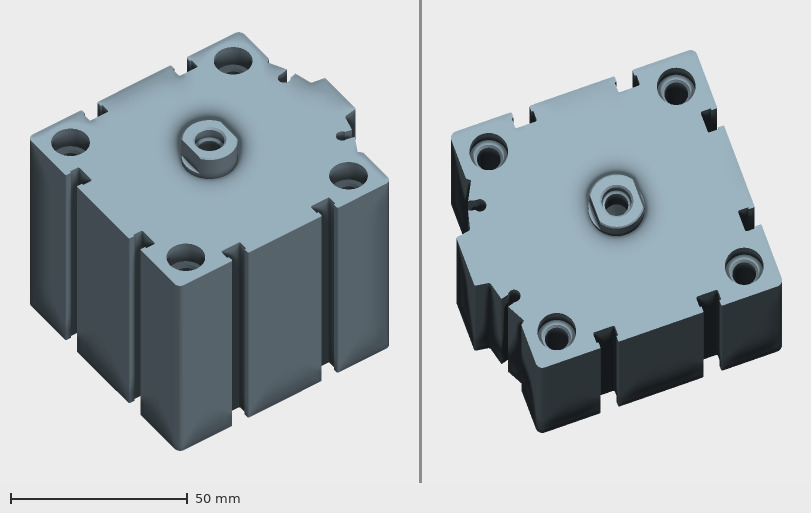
import cadquery as cq
import math


total_depth = 82.5
block_side = 74.0
block_half = block_side / 2
housing_height = 66.0
total_height = 74.0
corner_radius = 2.0

rail_top_y = total_depth - block_half
rail_top_half_width = 7.6
rail_foot_x = 8.25
rail_foot_y = 41.1
rail_ridge_x = 15.4
rail_ridge_y = 39.3
rail_notch_x = 22.0
rail_notch_y = 35.8
rail_notch_edge_x = 22.9
rail_foot_radius = 0.8
rail_top_radius = 0.4

keyhole_diameter = 3.6
keyhole_x = 14.2
keyhole_y = 36.0
keyhole_mouth_width = 2.9
keyhole_mouth_offset = 0.2
keyhole_mouth_length = 6.6
keyhole_tilt = 15.0

slot_spacing = 31.0
slot_mouth_width = 5.4
slot_inner_width = 6.5
slot_lip_depth = 1.8
slot_depth = 4.95
slot_lip_radius = 0.3
slot_floor_radius = 0.5

mount_spacing = 56.4
mount_bore_diameter = 11.0
mount_bore_depth = 7.0
mount_sink_diameter = 8.1
mount_hole_diameter = 6.8

rod_diameter = 16.0
rod_inserted_length = 16.5
rod_chamfer = 0.4
rod_flat_distance = 13.0
rod_flat_bottom = housing_height + 1.65
rod_flat_height = total_height - rod_flat_bottom

rod_mouth_diameter = 9.6
rod_bore_diameter = 8.4
rod_bore_depth = 3.55
rod_drill_diameter = 6.7
rod_drill_depth = 14.85
drill_point_angle = 118.0


def make_block():
    """Square block joined to the rail, with its corners and rail edges rounded."""
    right_half = [
        (rail_notch_edge_x, block_half),
        (rail_notch_x, rail_notch_y),
        (rail_ridge_x, rail_ridge_y),
        (rail_foot_x, rail_foot_y),
        (rail_top_half_width, rail_top_y),
    ]
    left_half = [(-x, y) for x, y in reversed(right_half)]
    bottom_corners = [(-block_half, -block_half), (block_half, -block_half)]
    top_right = (block_half, block_half)
    top_left = (-block_half, block_half)
    outline = [*bottom_corners, top_right, *right_half, *left_half, top_left]
    block = cq.Workplane("XY").polyline(outline).close().extrude(housing_height)

    for half_x, y, radius in [
        (block_half, -block_half, corner_radius),
        (block_half, block_half, corner_radius),
        (rail_foot_x, rail_foot_y, rail_foot_radius),
        (rail_top_half_width, rail_top_y, rail_top_radius),
    ]:
        for x in (-half_x, half_x):
            upright = cq.selectors.NearestToPointSelector((x, y, housing_height / 2))
            block = block.edges(upright).fillet(radius)
    return block


def make_keyhole(side):
    """Keyhole groove cutter; its mouth leans outward, away from the middle of the rail."""
    mouth = (
        cq.Workplane("XY")
        .center(keyhole_mouth_offset, keyhole_mouth_length / 2)
        .rect(keyhole_mouth_width, keyhole_mouth_length)
        .extrude(housing_height)
    )
    round_bottom = cq.Workplane("XY").circle(keyhole_diameter / 2).extrude(housing_height)
    keyhole = (
        round_bottom.union(mouth)
        .rotate((0, 0, 0), (0, 0, 1), -keyhole_tilt)
        .translate((keyhole_x, keyhole_y, 0))
    )
    return keyhole if side > 0 else keyhole.mirror("YZ")


def make_slot_pair(turn):
    """Two T-slot cutters entering from the -Y side, then turned about Z."""
    mouth_half = slot_mouth_width / 2
    inner_half = slot_inner_width / 2
    lip_y = slot_lip_depth - block_half
    floor_y = slot_depth - block_half
    slot = (
        cq.Workplane("XY")
        .moveTo(0, -block_half)
        .lineTo(mouth_half + slot_lip_radius, -block_half)
        .radiusArc((mouth_half, slot_lip_radius - block_half), slot_lip_radius)
        .lineTo(mouth_half, lip_y)
        .lineTo(inner_half, lip_y)
        .lineTo(inner_half, floor_y - slot_floor_radius)
        .radiusArc((inner_half - slot_floor_radius, floor_y), -slot_floor_radius)
        .lineTo(0, floor_y)
        .mirrorY()
        .extrude(housing_height)
    )
    pair = slot.translate((-slot_spacing / 2, 0, 0)).union(slot.translate((slot_spacing / 2, 0, 0)))
    return pair.rotate((0, 0, 0), (0, 0, 1), turn)


def make_housing():
    housing = make_block()
    for side in (-1, 1):
        housing = housing.cut(make_keyhole(side))
    for turn in (-90, 0, 90):
        housing = housing.cut(make_slot_pair(turn))

    sink_depth = (mount_sink_diameter - mount_hole_diameter) / 2
    drill_radius = mount_hole_diameter / 2
    sink_radius = mount_sink_diameter / 2
    bore_radius = mount_bore_diameter / 2
    bore_floor_z = housing_height - mount_bore_depth
    hole_profile = [
        (0, 0),
        (drill_radius, 0),
        (drill_radius, bore_floor_z - sink_depth),
        (sink_radius, bore_floor_z),
        (bore_radius, bore_floor_z),
        (bore_radius, housing_height),
        (0, housing_height),
    ]
    mount_hole = cq.Workplane("XZ").polyline(hole_profile).close().revolve(360, (0, 0), (0, 1))
    for x in (-mount_spacing / 2, mount_spacing / 2):
        for y in (-mount_spacing / 2, mount_spacing / 2):
            housing = housing.cut(mount_hole.translate((x, y, 0)))

    rod_bore = (
        cq.Workplane("XY", origin=(0, 0, housing_height - rod_inserted_length))
        .circle(rod_diameter / 2)
        .extrude(rod_inserted_length)
    )
    return housing.cut(rod_bore)


def make_rod():
    bottom_z = housing_height - rod_inserted_length
    rod = (
        cq.Workplane("XY", origin=(0, 0, bottom_z))
        .circle(rod_diameter / 2)
        .extrude(total_height - bottom_z)
        .faces(">Z")
        .chamfer(rod_chamfer)
    )

    for side in (-1, 1):
        flat = (
            cq.Workplane("XY", origin=(0, 0, rod_flat_bottom))
            .center(0, side * (rod_flat_distance + rod_diameter) / 2)
            .rect(rod_diameter, rod_diameter)
            .extrude(rod_flat_height)
        )
        rod = rod.cut(flat)

    mouth_radius = rod_mouth_diameter / 2
    bore_radius = rod_bore_diameter / 2
    drill_radius = rod_drill_diameter / 2
    cone_slope = 1 / math.tan(math.radians(drill_point_angle / 2))
    bore_floor_z = total_height - rod_bore_depth
    drill_floor_z = total_height - rod_drill_depth
    hole_profile = [
        (0, total_height),
        (mouth_radius, total_height),
        (bore_radius, total_height - (mouth_radius - bore_radius)),
        (bore_radius, bore_floor_z),
        (drill_radius, bore_floor_z - cone_slope * (bore_radius - drill_radius)),
        (drill_radius, drill_floor_z),
        (0, drill_floor_z - cone_slope * drill_radius),
    ]
    hole = cq.Workplane("XZ").polyline(hole_profile).close().revolve(360, (0, 0), (0, 1))
    return rod.cut(hole)


housing = make_housing()
rod = make_rod()
result = cq.Compound.makeCompound([housing.val(), rod.val()])